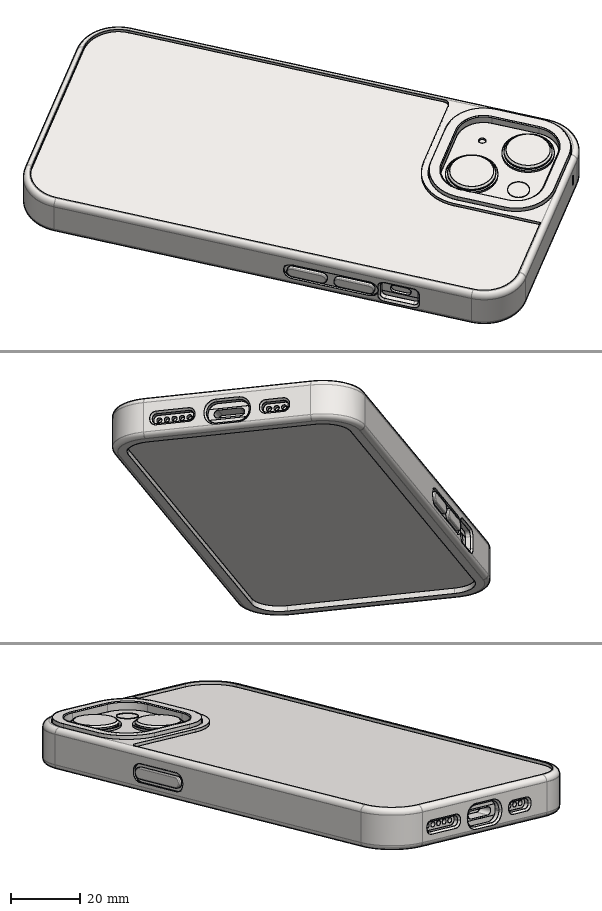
import cadquery as cq

CASE_FRONT_X = -75.5
CASE_REAR_X = 75.4
CASE_WIDTH = 75.3
CASE_HEIGHT = 12.4
CASE_CORNER_RADIUS = 12.5
TOP_EDGE_RADIUS = 1.8
BOTTOM_EDGE_RADIUS = 1.5
CASE_LENGTH = CASE_REAR_X - CASE_FRONT_X
CASE_CENTER_X = (CASE_FRONT_X + CASE_REAR_X) / 2
SIDE_Y = CASE_WIDTH / 2

WALL = 2.1
PHONE_BOTTOM = 1.7
PHONE_TOP = 9.2
PHONE_EDGE_RADIUS = 2.1
PHONE_LENGTH = CASE_LENGTH - 2 * WALL
PHONE_WIDTH = CASE_WIDTH - 2 * WALL
PHONE_CORNER_RADIUS = CASE_CORNER_RADIUS - WALL
PHONE_END_X = CASE_FRONT_X + WALL
PHONE_SIDE_Y = -SIDE_Y + WALL
MID_Z = (PHONE_BOTTOM + PHONE_TOP) / 2

CAMERA_X = 54.7
CAMERA_Y = 16.6
RING_SIZE = 37.2
RING_TOP = 13.5
RING_RADIUS = 11.5
RING_WIDTH = 3.3
RING_LIP_CHAMFER = 0.3
RING_CLEARANCE = 0.3
ISLAND_SIZE = RING_SIZE - 2 * RING_WIDTH
ISLAND_RADIUS = RING_RADIUS - RING_WIDTH
ISLAND_TOP = 10.9

LENS_OFFSET = 6.5
LENS_RADIUS = 7.5
LENS_HEIGHT = 1.7
LENS_RIM_STEP = 0.6
LENS_RIM_DROP = 0.5
LENS_CHAMFER = 0.6
FLASH_OFFSET = 8.2
FLASH_RADIUS = 3.2
FLASH_DEPTH = 0.2
MIC_OFFSET = 7.7
MIC_RADIUS = 1.0
MIC_DEPTH = 0.6

PLATE_INSET = 2.1
PLATE_RECESS = 0.9
PLATE_THICKNESS = 0.9
PLATE_TOP = CASE_HEIGHT - PLATE_RECESS
PLATE_BOTTOM = PLATE_TOP - PLATE_THICKNESS
NOTCH_X = 33.9
NOTCH_Y = -4.0
NOTCH_RADIUS = 13.3
NOTCH_TIP_RADIUS = 1.8

VOLUME_BUTTONS = [(7.3, 19.3), (21.5, 33.7)]
POWER_BUTTONS = [(11.3, 29.6)]
BUTTON_HEIGHT = 3.5
BUTTON_PROUD = 0.5
BUTTON_EDGE_RADIUS = 0.3
BUTTON_MARGIN = 1.0
BUTTON_RECESS_DEPTH = 0.6

OPENING_CHAMFER = 0.6
PORT_OPENING_WIDTH = 12.7
PORT_OPENING_HEIGHT = 6.5
PORT_OPENING_RADIUS = 3.0
SWITCH_X = 41.0
SWITCH_OPENING_WIDTH = 11.3
SWITCH_OPENING_HEIGHT = 6.3
SWITCH_OPENING_RADIUS = 1.4
SPEAKER_OPENING_HEIGHT = 3.0
SPEAKER_OPENING_RADIUS = 1.4

PORT_WIDTH = 9.0
PORT_HEIGHT = 2.4
PORT_DEPTH = 4.5
SWITCH_WIDTH = 6.2
SWITCH_HEIGHT = 2.7
SWITCH_DEPTH = 0.8
SPEAKER_PITCH = 2.3
SPEAKER_HOLE_RADIUS = 0.8
SPEAKER_HOLE_DEPTH = 1.5
SPEAKER_END_MARGIN = 1.7
SPEAKERS = [(16.5, 5), (-14.2, 3)]

RIB_Y = 20.7
RIB_BOTTOM = 5.0
RIB_TOP = 8.5
RIB_WIDTH = 0.5
RIB_PROUD = 0.2


def rounded_block(center_x, center_y, length, width, radius, bottom, top):
    """Block with rounded upright corners between two heights."""
    return (
        cq.Workplane("XY", origin=(center_x, center_y, bottom))
        .rect(length, width)
        .extrude(top - bottom)
        .edges("|Z")
        .fillet(radius)
    )


def side_plane(x, y):
    """Plane at mid height whose normal points out of the -Y wall, horizontal axis +X."""
    return cq.Workplane("XZ", origin=(x, y, MID_Z))


def end_plane(x, y):
    """Plane at mid height whose normal points out of the -X wall, horizontal axis -Y."""
    return cq.Workplane(cq.Plane(origin=(x, y, MID_Z), xDir=(0, -1, 0), normal=(-1, 0, 0)))


def wall_opening(plane, width, height, radius):
    """Cutter through one wall, flared by a chamfer at the outer surface on which the plane lies."""
    straight = plane.sketch().rect(width, height).vertices().fillet(radius).finalize()
    straight = straight.extrude(-WALL)
    flared_width = width + 2 * OPENING_CHAMFER
    flared_height = height + 2 * OPENING_CHAMFER
    flare = (
        plane.sketch()
        .rect(flared_width, flared_height)
        .vertices()
        .fillet(radius + OPENING_CHAMFER)
        .finalize()
        .extrude(-OPENING_CHAMFER, taper=45)
    )
    return straight.union(flare)


def phone_body():
    """Plain phone shape with rounded edges all round."""
    return (
        rounded_block(
            CASE_CENTER_X, 0, PHONE_LENGTH, PHONE_WIDTH, PHONE_CORNER_RADIUS, PHONE_BOTTOM, PHONE_TOP
        )
        .faces("<Z or >Z")
        .edges()
        .fillet(PHONE_EDGE_RADIUS)
    )


def camera_block(size, radius, bottom, top):
    """Rounded square block centred on the camera."""
    return rounded_block(CAMERA_X, CAMERA_Y, size, size, radius, bottom, top)


def lens(x, y):
    """Stepped lens barrel with a chamfered top."""
    inner_radius = LENS_RADIUS - LENS_RIM_STEP
    barrel = cq.Workplane("XY", origin=(x, y, ISLAND_TOP)).circle(LENS_RADIUS)
    barrel = barrel.extrude(LENS_HEIGHT - LENS_CHAMFER - LENS_RIM_DROP)
    core = cq.Workplane("XY", origin=(x, y, ISLAND_TOP)).circle(inner_radius).extrude(LENS_HEIGHT)
    return barrel.union(core.faces(">Z").chamfer(LENS_CHAMFER))


def make_phone():
    """Phone with its camera island, lenses, port, switch slot and speaker holes."""
    phone = phone_body().union(camera_block(ISLAND_SIZE, ISLAND_RADIUS, MID_Z, ISLAND_TOP))
    for side in (1, -1):
        phone = phone.union(lens(CAMERA_X + side * LENS_OFFSET, CAMERA_Y + side * LENS_OFFSET))

    island = cq.Workplane("XY", origin=(CAMERA_X, CAMERA_Y, ISLAND_TOP))
    flash = island.center(FLASH_OFFSET, -FLASH_OFFSET).circle(FLASH_RADIUS).extrude(-FLASH_DEPTH)
    microphone = island.center(-MIC_OFFSET, MIC_OFFSET).circle(MIC_RADIUS).extrude(-MIC_DEPTH)
    phone = phone.cut(flash).cut(microphone)

    phone = phone.cut(end_plane(PHONE_END_X, 0).slot2D(PORT_WIDTH, PORT_HEIGHT).extrude(-PORT_DEPTH))
    switch = side_plane(SWITCH_X, PHONE_SIDE_Y).slot2D(SWITCH_WIDTH, SWITCH_HEIGHT)
    phone = phone.cut(switch.extrude(-SWITCH_DEPTH))

    for center_y, count in SPEAKERS:
        holes = end_plane(PHONE_END_X, center_y).rarray(SPEAKER_PITCH, 1.5, count, 1)
        phone = phone.cut(holes.circle(SPEAKER_HOLE_RADIUS).extrude(-SPEAKER_HOLE_DEPTH))
    return phone


def make_plate():
    """Back plate with one corner cut away around the camera."""
    plate = rounded_block(
        CASE_CENTER_X,
        0,
        CASE_LENGTH - 2 * PLATE_INSET,
        CASE_WIDTH - 2 * PLATE_INSET,
        CASE_CORNER_RADIUS - PLATE_INSET,
        PLATE_BOTTOM,
        PLATE_TOP,
    )
    notch = (
        cq.Workplane("XY", origin=(NOTCH_X, NOTCH_Y, PLATE_BOTTOM))
        .rect(CASE_LENGTH, CASE_WIDTH, centered=False)
        .extrude(PLATE_THICKNESS)
        .edges("|Z and <X and <Y")
        .fillet(NOTCH_RADIUS)
    )
    return plate.cut(notch).edges("|Z").edges(">Y").edges(">X").fillet(NOTCH_TIP_RADIUS)


def make_ring():
    """Ring standing on the phone, with a chamfered lip around its opening."""
    outer = camera_block(RING_SIZE, RING_RADIUS, PHONE_TOP, RING_TOP)
    opening = camera_block(ISLAND_SIZE, ISLAND_RADIUS, PHONE_TOP, RING_TOP)
    ring = outer.cut(opening)
    lip = ring.faces(">Z").wires(cq.selectors.LengthNthSelector(0)).edges()
    return lip.chamfer(RING_LIP_CHAMFER)


def add_buttons(case, buttons, side):
    """Recess a button group into the wall on the given side (-1 or +1 along Y) and add its buttons."""
    start = buttons[0][0] - BUTTON_MARGIN
    end = buttons[-1][1] + BUTTON_MARGIN
    wall_y = side * SIDE_Y
    floor_y = wall_y - side * BUTTON_RECESS_DEPTH
    outward = -side
    recess = side_plane((start + end) / 2, wall_y).slot2D(end - start, BUTTON_HEIGHT + 2 * BUTTON_MARGIN)
    case = case.cut(recess.extrude(-outward * BUTTON_RECESS_DEPTH))
    outer_face = ">Y" if side > 0 else "<Y"
    for first, last in buttons:
        button = side_plane((first + last) / 2, floor_y).slot2D(last - first, BUTTON_HEIGHT)
        button = button.extrude(outward * (BUTTON_RECESS_DEPTH + BUTTON_PROUD))
        case = case.union(button.faces(outer_face).edges().fillet(BUTTON_EDGE_RADIUS))
    return case


def make_case(plate):
    """Case shell with seats for the phone, ring and plate, and its openings and buttons."""
    case = rounded_block(CASE_CENTER_X, 0, CASE_LENGTH, CASE_WIDTH, CASE_CORNER_RADIUS, 0, CASE_HEIGHT)
    case = case.faces(">Z").edges().fillet(TOP_EDGE_RADIUS)
    case = case.faces("<Z").edges().fillet(BOTTOM_EDGE_RADIUS)

    screen_opening = rounded_block(
        CASE_CENTER_X,
        0,
        PHONE_LENGTH - 2 * PHONE_EDGE_RADIUS,
        PHONE_WIDTH - 2 * PHONE_EDGE_RADIUS,
        PHONE_CORNER_RADIUS - PHONE_EDGE_RADIUS,
        0,
        MID_Z,
    )
    case = case.cut(phone_body()).cut(screen_opening)

    seat_size = RING_SIZE + 2 * RING_CLEARANCE
    case = case.cut(camera_block(seat_size, RING_RADIUS + RING_CLEARANCE, PHONE_TOP, CASE_HEIGHT))
    case = case.cut(plate).cut(plate.translate((0, 0, PLATE_RECESS)))

    port = end_plane(CASE_FRONT_X, 0)
    case = case.cut(wall_opening(port, PORT_OPENING_WIDTH, PORT_OPENING_HEIGHT, PORT_OPENING_RADIUS))
    for center_y, count in SPEAKERS:
        width = (count - 1) * SPEAKER_PITCH + 2 * SPEAKER_END_MARGIN
        speaker = end_plane(CASE_FRONT_X, center_y)
        case = case.cut(wall_opening(speaker, width, SPEAKER_OPENING_HEIGHT, SPEAKER_OPENING_RADIUS))
    case = add_buttons(case, VOLUME_BUTTONS, -1)
    case = add_buttons(case, POWER_BUTTONS, 1)
    switch = side_plane(SWITCH_X, -SIDE_Y)
    case = case.cut(wall_opening(switch, SWITCH_OPENING_WIDTH, SWITCH_OPENING_HEIGHT, SWITCH_OPENING_RADIUS))

    root = WALL / 2
    rib = cq.Workplane("XY", origin=(CASE_REAR_X + (RIB_PROUD - root) / 2, RIB_Y, RIB_BOTTOM))
    return case.union(rib.rect(root + RIB_PROUD, RIB_WIDTH).extrude(RIB_TOP - RIB_BOTTOM))


phone = make_phone()
back_plate = make_plate()
camera_ring = make_ring()
case = make_case(back_plate)

result = cq.Compound.makeCompound([case.val(), back_plate.val(), camera_ring.val(), phone.val()])